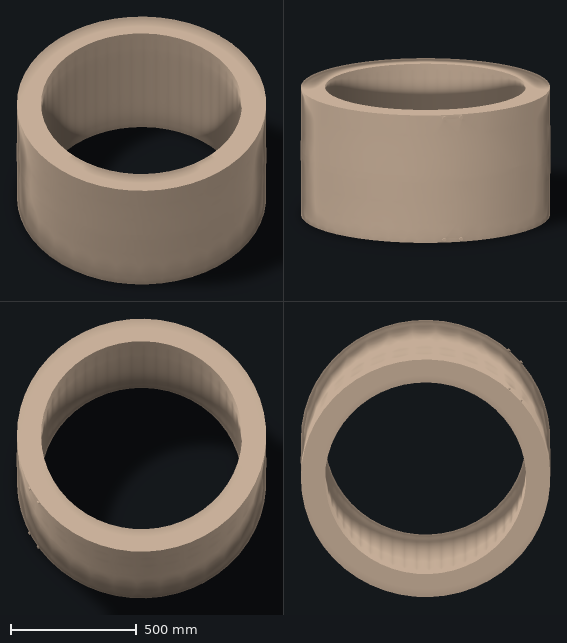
import cadquery as cq

band_radius = 496.0
end_taper = 0.8
end_radius = band_radius - end_taper
inner_radius = 400.0
height = 520.0

band_width = 27.0

stud_diameter = 14.0
stud_spacing = 69.0
stud_end_distance = 12.0
stud_tip_y = 500.0
stud_length = 20.0


def make_ring():
    half_height = height / 2
    half_band = band_width / 2
    section = [
        (inner_radius, -half_height),
        (end_radius, -half_height),
        (band_radius, -half_band),
        (band_radius, half_band),
        (end_radius, half_height),
        (inner_radius, half_height),
    ]
    profile = cq.Workplane("XZ").polyline([(-radius, z) for radius, z in section]).close()
    return profile.revolve(360, (0, 0, 0), (0, 1, 0))


def make_studs():
    row_spacing = height - 2 * stud_end_distance
    return (
        cq.Workplane("XZ", origin=(0, stud_tip_y, 0))
        .rarray(stud_spacing, row_spacing, 2, 2)
        .circle(stud_diameter / 2)
        .extrude(stud_length)
    )


result = make_ring().union(make_studs())